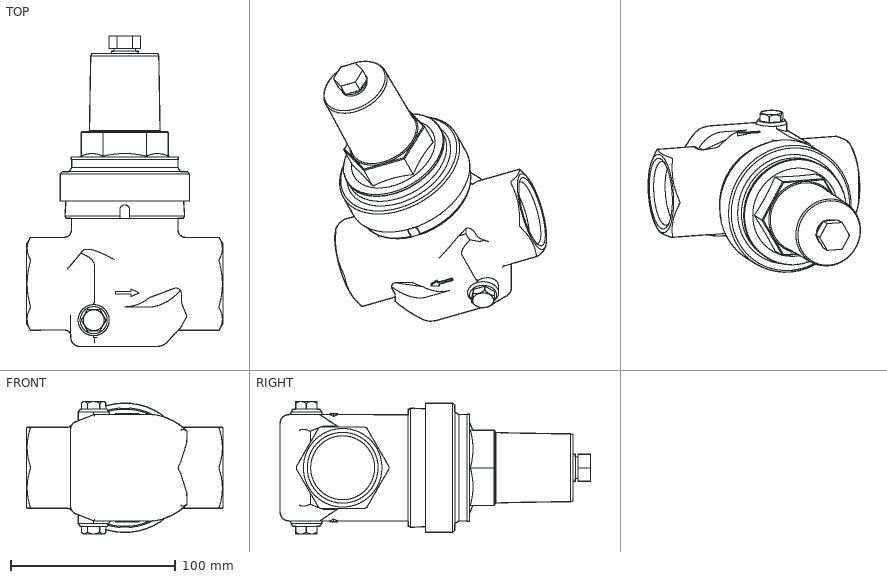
import cadquery as cq
import math


port_reach = 60.0
port_flats = 49.6
port_corner_radius = 2.3
port_face_dia = 48.0
port_mouth_dia = 43.2
port_bore_dia = 39.0
port_bore_depth = 9.5
neck_fillet = 4.5

barrel_dia = 65.0
barrel_bottom = -19.0
skirt_bottom = 40.0
skirt_dia = 73.0
skirt_top_dia = 72.0
skirt_edge = 1.5
collar_bottom = 50.4
collar_top = 68.4
collar_dia = 79.0
collar_edge = 1.3
flare_base_dia = 68.2
flare_top = 70.8
lip_bottom = 75.7
lip_top = 77.5
lip_dia = 65.5
cone_base_dia = 55.0
cone_top_dia = 44.7
cone_top = 79.7
nut_top = 92.8
nut_flats = 46.0
nut_edge = 1.1
cap_flange_dia = 44.7
cap_flange_top = 93.3
cap_top = 140.5
cap_bottom_dia = 43.2
cap_top_dia = 41.7
cap_edge = 1.5
washer_dia = 16.5
washer_top = 141.8
neck_dia = 13.3
screw_bottom = 143.3
screw_top = 151.1
screw_flats = 16.7

notch_width = 6.0
notch_top = 48.1
notch_depth = 1.1

chamber_bottom = -38.2
chamber_half_depth = barrel_dia / 2
inlet_wall = 33.0
inlet_wall_half = 26.9
inlet_wall_fillet = 4.7
inlet_root_fillet = 3.5
inlet_bevel_start = 18.5
inlet_shoulder = 11.4
inlet_top = 20.8
inlet_top_half = 25.4
inlet_slant_bottom = 11.4
inlet_slant_top = 25.0
outlet_reach = 37.9
outlet_floor_end = 19.5
outlet_ramp_start = (26.5, -34.8)
outlet_ramp_end = (34.0, -26.7)
outlet_tip = -19.7
outlet_shoulder = 34.5
outlet_shoulder_bottom = -11.4
outlet_shoulder_round = 3.5
outlet_side_end = 17.0
outlet_bulge = (30.0, 28.4)
outlet_end_half = 22.3
outlet_start = -14.0
outlet_top = -2.5
outlet_top_half = 24.8
chamber_fillet = 5.7

plug_x = -19.0
plug_y = -22.2
boss_dia = 19.0
boss_shoulder = 33.9
foot_fillet = 1.1
boss_top = 35.8
boss_top_dia = 16.5
plug_flats = 13.0
plug_top = 40.5
plug_crown_dia = 15.0
plug_crown_chamfer = 1.1

arrow_y = -5.5
arrow_tail = -5.7
arrow_head = 3.8
arrow_tip = 8.7
arrow_shaft_width = 1.5
arrow_head_width = 4.5
arrow_height = 0.5


def corner_dia(flats):
    """Across-corners size of a hexagon."""
    return flats / math.cos(math.radians(30))


def along_y(start):
    """Plane at Y = start that extrudes toward +Y, with its local x along X."""
    return cq.Workplane(cq.Plane(origin=(0, start, 0), xDir=(1, 0, 0), normal=(0, 1, 0)))


def both_sides(solid):
    """The solid together with its mirror image across the XY plane."""
    return solid.union(solid.mirror("XY"))


def make_barrel():
    return (
        cq.Workplane("XY")
        .moveTo(0, 0)
        .lineTo(barrel_dia / 2, 0)
        .lineTo(barrel_dia / 2, skirt_bottom)
        .lineTo(skirt_dia / 2 - skirt_edge / 2, skirt_bottom)
        .lineTo(skirt_dia / 2, skirt_bottom + skirt_edge)
        .lineTo(skirt_top_dia / 2, collar_bottom)
        .lineTo(collar_dia / 2, collar_bottom)
        .lineTo(collar_dia / 2, collar_top - collar_edge)
        .lineTo(collar_dia / 2 - collar_edge, collar_top)
        .lineTo(flare_base_dia / 2, collar_top)
        .lineTo(barrel_dia / 2, flare_top)
        .lineTo(barrel_dia / 2, lip_bottom)
        .lineTo(lip_dia / 2, lip_bottom)
        .lineTo(lip_dia / 2, lip_top)
        .lineTo(cone_base_dia / 2, lip_top)
        .lineTo(cone_top_dia / 2, cone_top)
        .lineTo(0, cone_top)
        .close()
        .revolve(360, (0, 0, 0), (0, 1, 0))
    )


def make_spring_cap():
    nut = along_y(lip_top).polygon(6, corner_dia(nut_flats)).extrude(nut_top - lip_top)
    nut = nut.faces(">Y").chamfer(nut_edge / 2)
    cap = (
        cq.Workplane("XY")
        .moveTo(0, lip_top)
        .lineTo(cap_bottom_dia / 2, lip_top)
        .lineTo(cap_flange_dia / 2, nut_top)
        .lineTo(cap_bottom_dia / 2, cap_flange_top)
        .lineTo(cap_top_dia / 2, cap_top - cap_edge)
        .lineTo(cap_top_dia / 2 - cap_edge / 2, cap_top)
        .lineTo(washer_dia / 2, cap_top)
        .lineTo(washer_dia / 2, washer_top)
        .lineTo(neck_dia / 2, washer_top)
        .lineTo(neck_dia / 2, screw_bottom)
        .lineTo(0, screw_bottom)
        .close()
        .revolve(360, (0, 0, 0), (0, 1, 0))
    )
    screw = along_y(screw_bottom).polygon(6, corner_dia(screw_flats)).extrude(screw_top - screw_bottom)
    return nut.union(cap).union(screw)


def make_port_bar():
    """Hexagon bar through both ports, with its corners toward +Y and -Y."""
    bar = (
        cq.Workplane("YZ")
        .polygon(6, corner_dia(port_flats))
        .extrude(port_reach, both=True)
        .edges("|X")
        .fillet(port_corner_radius)
    )
    rim = corner_dia(port_flats) / 2
    end_slope = (rim - port_face_dia / 2) * math.tan(math.radians(30))
    envelope = (
        cq.Workplane("XY")
        .moveTo(-port_reach, 0)
        .lineTo(-port_reach, port_face_dia / 2)
        .lineTo(-port_reach + end_slope, rim)
        .lineTo(port_reach - end_slope, rim)
        .lineTo(port_reach, port_face_dia / 2)
        .lineTo(port_reach, 0)
        .close()
        .revolve(360, (0, 0, 0), (1, 0, 0))
    )
    return bar.intersect(envelope)


def make_port_bore():
    """Blind bore of the -X port with a chamfered mouth."""
    mouth_chamfer = (port_mouth_dia - port_bore_dia) / 2
    return (
        cq.Workplane("XY")
        .moveTo(-port_reach, 0)
        .lineTo(-port_reach, port_mouth_dia / 2)
        .lineTo(-port_reach + mouth_chamfer, port_bore_dia / 2)
        .lineTo(-port_reach + port_bore_depth, port_bore_dia / 2)
        .lineTo(-port_reach + port_bore_depth, 0)
        .close()
        .revolve(360, (0, 0, 0), (1, 0, 0))
    )


def make_inlet_chamber():
    """Box on the -X side with bevelled corners, its top rounding down onto the barrel."""
    plan = (
        along_y(chamber_bottom)
        .moveTo(0, -chamber_half_depth)
        .lineTo(-inlet_bevel_start, -chamber_half_depth)
        .lineTo(-inlet_wall, -inlet_wall_half)
        .lineTo(-inlet_wall, inlet_wall_half)
        .lineTo(-inlet_bevel_start, chamber_half_depth)
        .lineTo(0, chamber_half_depth)
        .close()
        .extrude(inlet_top - chamber_bottom)
        .edges("|Y and <X")
        .fillet(inlet_wall_fillet)
    )
    half_side = (
        cq.Workplane("YZ")
        .moveTo(chamber_bottom, 0)
        .lineTo(chamber_bottom, chamber_half_depth)
        .lineTo(inlet_shoulder, chamber_half_depth)
        .tangentArcPoint((inlet_top, inlet_top_half), relative=False)
        .lineTo(inlet_top, 0)
        .close()
        .extrude(-inlet_wall)
    )
    outline = (
        cq.Workplane("XY")
        .moveTo(0, chamber_bottom)
        .lineTo(-inlet_wall, chamber_bottom)
        .lineTo(-inlet_wall, inlet_slant_bottom)
        .lineTo(-inlet_slant_top, inlet_top)
        .lineTo(0, inlet_top)
        .close()
        .extrude(chamber_half_depth, both=True)
    )
    return plan.intersect(both_sides(half_side)).intersect(outline)


def make_outlet_chamber():
    """Lobe on the +X side, rising toward the outlet port."""
    outline = (
        cq.Workplane("XY")
        .moveTo(0, chamber_bottom)
        .lineTo(outlet_floor_end, chamber_bottom)
        .tangentArcPoint(outlet_ramp_start, relative=False)
        .lineTo(*outlet_ramp_end)
        .lineTo(outlet_reach, outlet_tip)
        .lineTo(outlet_shoulder, outlet_shoulder_bottom)
        .lineTo(outlet_shoulder, outlet_top - outlet_shoulder_round)
        .tangentArcPoint((outlet_shoulder - outlet_shoulder_round, outlet_top), relative=False)
        .lineTo(0, outlet_start)
        .close()
        .extrude(chamber_half_depth, both=True)
    )
    plan = (
        along_y(chamber_bottom)
        .moveTo(0, -chamber_half_depth)
        .lineTo(outlet_side_end, -chamber_half_depth)
        .threePointArc((outlet_bulge[0], -outlet_bulge[1]), (outlet_reach, -outlet_end_half))
        .lineTo(outlet_reach, outlet_end_half)
        .threePointArc(outlet_bulge, (outlet_side_end, chamber_half_depth))
        .lineTo(0, chamber_half_depth)
        .close()
        .extrude(outlet_top - chamber_bottom)
    )
    side = (
        cq.Workplane("YZ")
        .moveTo(chamber_bottom, -chamber_half_depth)
        .lineTo(outlet_start, -chamber_half_depth)
        .lineTo(outlet_top, -outlet_top_half)
        .lineTo(outlet_top, outlet_top_half)
        .lineTo(outlet_start, chamber_half_depth)
        .lineTo(chamber_bottom, chamber_half_depth)
        .close()
        .extrude(outlet_reach)
    )
    return outline.intersect(plan).intersect(side)


def make_chamber():
    chamber = make_inlet_chamber().union(make_outlet_chamber())
    return chamber.faces("<Y").edges().fillet(chamber_fillet)


def make_body():
    """Barrel crossed by the port bar, with rounded necks where they meet."""
    neck_limit = barrel_dia / 2 + 1.9
    neck_box = cq.selectors.BoxSelector(
        (-neck_limit, -neck_limit, -neck_limit), (neck_limit, neck_limit, neck_limit), boundingbox=True
    )
    root = along_y(barrel_bottom).circle(barrel_dia / 2).extrude(skirt_bottom - barrel_bottom)
    root = root.rotate((0, 0, 0), (0, 1, 0), 90)
    crossing = root.union(make_port_bar())
    necks = crossing.edges(neck_box).edges("not(<Y or >Y)")
    return necks.fillet(neck_fillet).union(make_barrel())


def make_plug():
    boss = (
        cq.Workplane("XZ", origin=(plug_x, plug_y, 0))
        .lineTo(boss_dia / 2, 0)
        .lineTo(boss_dia / 2, boss_shoulder)
        .lineTo(boss_top_dia / 2, boss_top)
        .lineTo(0, boss_top)
        .close()
        .revolve(360, (0, 0, 0), (0, 1, 0))
    )
    boss_radius = boss_dia / 2
    foot = (
        cq.Workplane("YZ", origin=(plug_x, plug_y, 0))
        .moveTo(0, chamber_half_depth - foot_fillet)
        .lineTo(boss_radius + foot_fillet, chamber_half_depth - foot_fillet)
        .lineTo(boss_radius + foot_fillet, chamber_half_depth)
        .radiusArc((boss_radius, chamber_half_depth + foot_fillet), foot_fillet)
        .lineTo(0, chamber_half_depth + foot_fillet)
        .close()
        .revolve(180, (0, 0, 0), (0, -1, 0))
    )
    head = (
        cq.Workplane("XY", origin=(plug_x, plug_y, boss_top))
        .polygon(6, corner_dia(plug_flats))
        .extrude(plug_top - boss_top)
    )
    crown = (
        cq.Workplane("XY", origin=(plug_x, plug_y, boss_top))
        .circle(plug_crown_dia / 2)
        .extrude(plug_top - boss_top)
        .faces(">Z")
        .chamfer(plug_crown_chamfer)
    )
    return boss.union(foot).union(head.intersect(crown))


def make_notch():
    floor = skirt_dia / 2 - notch_depth
    round_center = notch_top - notch_width / 2
    return (
        cq.Workplane("XY")
        .workplane(offset=floor)
        .moveTo(-notch_width / 2, skirt_bottom)
        .lineTo(notch_width / 2, skirt_bottom)
        .lineTo(notch_width / 2, round_center)
        .threePointArc((0, notch_top), (-notch_width / 2, round_center))
        .close()
        .extrude(2 * notch_depth)
    )


def make_arrow():
    return (
        cq.Workplane("XY", origin=(0, arrow_y, chamber_half_depth - 1.9))
        .moveTo(arrow_tail, -arrow_shaft_width / 2)
        .lineTo(arrow_head, -arrow_shaft_width / 2)
        .lineTo(arrow_head, -arrow_head_width / 2)
        .lineTo(arrow_tip, 0)
        .lineTo(arrow_head, arrow_head_width / 2)
        .lineTo(arrow_head, arrow_shaft_width / 2)
        .lineTo(arrow_tail, arrow_shaft_width / 2)
        .close()
        .extrude(1.9 + arrow_height)
    )


def join_chamber():
    """Body and chamber as one, with the flat inlet wall rounded into the port bar."""
    joined = make_body().union(make_chamber())
    wall_box = cq.selectors.BoxSelector(
        (-inlet_wall - 0.2, chamber_bottom + chamber_fillet + 0.2, -inlet_wall_half),
        (-inlet_wall + 0.2, inlet_slant_bottom, inlet_wall_half),
        boundingbox=True,
    )
    return joined.edges(wall_box).fillet(inlet_root_fillet)


bore = make_port_bore()

result = (
    join_chamber()
    .union(make_spring_cap())
    .union(both_sides(make_plug()))
    .union(both_sides(make_arrow()))
    .cut(both_sides(make_notch()))
    .cut(bore)
    .cut(bore.mirror("YZ"))
)